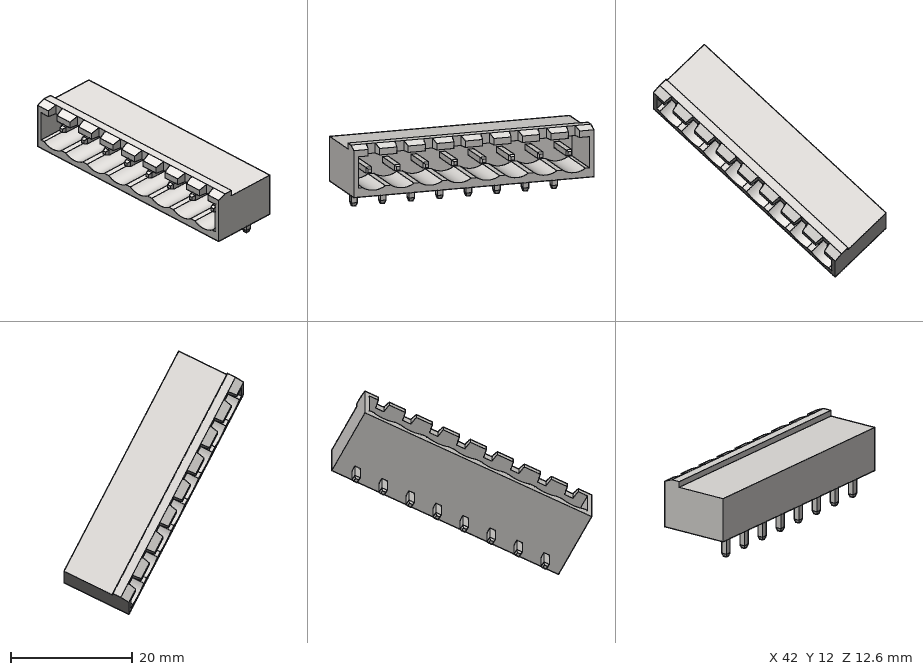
import cadquery as cq

pin_count = 8
pitch = 5.0
end_margin = 3.5
length = 2 * end_margin + (pin_count - 1) * pitch
pin_positions = [end_margin + i * pitch for i in range(pin_count)]

depth = 12.0
body_height = 7.6
lip_height = 8.6
lip_depth = 3.0
bevel_depth = 1.5
bevel_drop = 0.6

end_wall = 0.8
cavity_depth = 8.5
cavity_floor = 1.6
cavity_top = 6.9
scallop_width = 4.0
scallop_drop = 0.6

slot_depth = 1.5
slot_front_width = 2.0
slot_back_width = 1.5

pin_size = 1.0
tip_size = 0.6
tip_length = 0.6
tail_y = 10.0
tail_bottom = -4.0
contact_z = 3.8
contact_front = 2.0


def make_housing():
    profile = [
        (0, 0),
        (depth, 0),
        (depth, body_height),
        (lip_depth, body_height),
        (lip_depth, lip_height),
        (bevel_depth, lip_height),
        (0, lip_height - bevel_drop),
    ]
    return cq.Workplane("YZ").polyline(profile).close().extrude(length)


def make_cavity():
    """Rectangular opening whose floor dips in a shallow arc under each pin."""
    outline = cq.Workplane("XZ").moveTo(end_wall, cavity_top).lineTo(end_wall, cavity_floor)
    for x in pin_positions:
        outline = outline.lineTo(x - scallop_width / 2, cavity_floor)
        outline = outline.threePointArc(
            (x, cavity_floor - scallop_drop),
            (x + scallop_width / 2, cavity_floor),
        )
    outline = outline.lineTo(length - end_wall, cavity_floor).lineTo(length - end_wall, cavity_top)
    return outline.close().extrude(-cavity_depth)


def make_slot(x):
    """Slot from the cavity up through the lip, narrowing toward the back."""
    plan = [
        (x - slot_front_width / 2, 0),
        (x + slot_front_width / 2, 0),
        (x + slot_back_width / 2, slot_depth),
        (x - slot_back_width / 2, slot_depth),
    ]
    slot_base = cq.Workplane("XY").workplane(offset=cavity_top)
    return slot_base.polyline(plan).close().extrude(lip_height - cavity_top)


def make_leg(start, direction, leg_length):
    """Square bar ending in a tapered tip, running from start along direction."""
    base = cq.Workplane(cq.Plane(origin=start, xDir=(1, 0, 0), normal=direction))
    bar = base.rect(pin_size, pin_size).extrude(leg_length - tip_length)
    tip = (
        base.workplane(offset=leg_length - tip_length)
        .rect(pin_size, pin_size)
        .workplane(offset=tip_length)
        .rect(tip_size, tip_size)
        .loft(ruled=True)
    )
    return bar.union(tip)


def make_pin(x):
    """L-shaped pin: a horizontal contact and a vertical solder tail."""
    half = pin_size / 2
    contact_back = tail_y + half
    tail_top = contact_z + half
    contact = make_leg((x, contact_back, contact_z), (0, -1, 0), contact_back - contact_front)
    tail = make_leg((x, tail_y, tail_top), (0, 0, -1), tail_top - tail_bottom)
    return contact.union(tail)


result = make_housing().cut(make_cavity())
for x in pin_positions:
    result = result.cut(make_slot(x))
for x in pin_positions:
    result = result.union(make_pin(x))